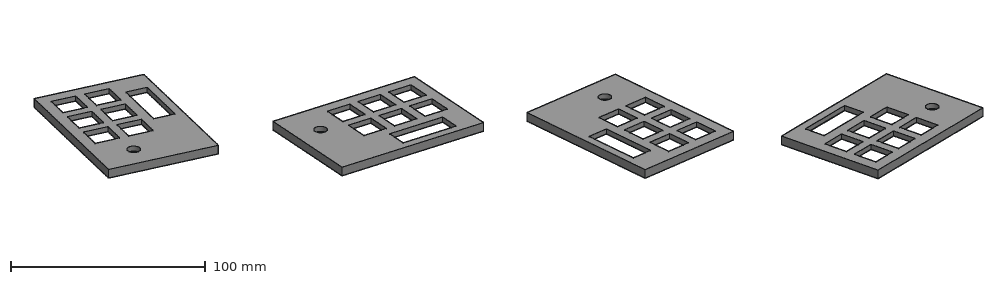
import cadquery as cq

plate_length = 88.3
plate_width = 62.6
plate_thickness = 5.0

face_thickness = 3.0
rim_width = 2.0

key_size = 13.95
key_pitch = 19.1
key_columns = 3
key_rows = 2
key_grid_x = -11.4
key_grid_y = -8.2

window_length = 33.0
window_width = 12.2
window_x = -13.8
window_y = 20.4

knob_diameter = 7.0
knob_x = 29.2
knob_y = -9.8


def top_at(body, x, y):
    """Workplane on the top face, with its origin at (x, y)."""
    return body.faces(">Z").workplane(origin=(x, y, plate_thickness))


def cut_underside(body):
    hollow_length = plate_length - 2 * rim_width
    hollow_width = plate_width - 2 * rim_width
    hollow_depth = plate_thickness - face_thickness
    hollow = cq.Workplane("XY").rect(hollow_length, hollow_width).extrude(hollow_depth)
    return body.cut(hollow)


def cut_keys(body):
    grid = top_at(body, key_grid_x, key_grid_y).rarray(key_pitch, key_pitch, key_columns, key_rows)
    return grid.rect(key_size, key_size).cutThruAll()


def cut_window(body):
    return top_at(body, window_x, window_y).rect(window_length, window_width).cutThruAll()


def cut_knob_hole(body):
    return top_at(body, knob_x, knob_y).hole(knob_diameter)


result = cq.Workplane("XY").box(plate_length, plate_width, plate_thickness, centered=(True, True, False))
result = cut_underside(result)
result = cut_keys(result)
result = cut_window(result)
result = cut_knob_hole(result)